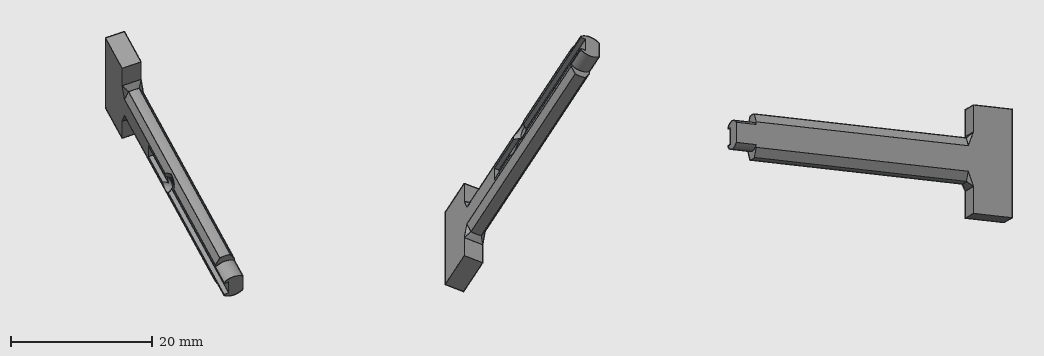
import cadquery as cq

length = 42.55
thickness = 2.95
head_height = 15.9
head_length = 6.0
half_thick = thickness / 2
front_y = -half_thick

shaft_start = 6.8
shaft_end = 39.5
shaft_radius = 3.3
flat_half_height = 1.87
crown_half_width = 0.8
crown_edge_z = (shaft_radius**2 - crown_half_width**2) ** 0.5

flare_half_height = 4.0

tip_radius = 2.1

groove_start = 15.45
groove_height = 2.43
groove_depth = 0.72

cone_x = 23.0
cone_z = 1.5
cone_mouth_radius = 1.58
cone_floor_radius = 0.95
cone_depth = 0.85

dimple_x = 21.5
dimple_z = -0.5
dimple_radius = 1.28
dimple_standoff = 0.2


def box_between(x_start, x_end, height):
    """Full-thickness block centred on the X axis."""
    block = cq.Workplane("XY").box(x_end - x_start, thickness, height)
    return block.translate(((x_start + x_end) / 2, 0, 0))


def make_shaft():
    return (
        cq.Workplane("YZ", origin=(shaft_start, 0, 0))
        .moveTo(front_y, -flat_half_height)
        .lineTo(front_y, flat_half_height)
        .lineTo(-crown_half_width, crown_edge_z)
        .threePointArc((0, shaft_radius), (crown_half_width, crown_edge_z))
        .lineTo(half_thick, flat_half_height)
        .lineTo(half_thick, -flat_half_height)
        .lineTo(crown_half_width, -crown_edge_z)
        .threePointArc((0, -shaft_radius), (-crown_half_width, -crown_edge_z))
        .close()
        .extrude(shaft_end - shaft_start)
    )


def polygon_face(*points):
    return cq.Face.makeFromWires(cq.Wire.makePolygon([cq.Vector(*p) for p in points], close=True))


def make_flare():
    """Blend from a rectangle at the head to the shaft section."""

    def head_corner(y_side, z_side):
        return (head_length, y_side * half_thick, z_side * flare_half_height)

    def flat_corner(y_side, z_side):
        return (shaft_start, y_side * half_thick, z_side * flat_half_height)

    def crown_corner(y_side, z_side):
        return (shaft_start, y_side * crown_half_width, z_side * crown_edge_z)

    faces = [
        polygon_face(head_corner(-1, -1), head_corner(-1, 1), head_corner(1, 1), head_corner(1, -1)),
        make_shaft().faces("<X").val(),
    ]
    for y_side in (-1, 1):
        faces.append(
            polygon_face(
                head_corner(y_side, -1),
                head_corner(y_side, 1),
                flat_corner(y_side, 1),
                flat_corner(y_side, -1),
            )
        )
        for z_side in (-1, 1):
            faces.append(
                polygon_face(
                    head_corner(y_side, z_side),
                    flat_corner(y_side, z_side),
                    crown_corner(y_side, z_side),
                )
            )
    for z_side in (-1, 1):
        head_edge = cq.Edge.makeLine(
            cq.Vector(*head_corner(-1, z_side)), cq.Vector(*head_corner(1, z_side))
        )
        crown_edge = cq.Edge.makeThreePointArc(
            cq.Vector(*crown_corner(-1, z_side)),
            cq.Vector(shaft_start, 0, z_side * shaft_radius),
            cq.Vector(*crown_corner(1, z_side)),
        )
        faces.append(cq.Face.makeRuledSurface(head_edge, crown_edge))
    return cq.Workplane(cq.Solid.makeSolid(cq.Shell.makeShell(faces)).fix())


def make_tip():
    rod = (
        cq.Workplane("YZ", origin=(shaft_end, 0, 0))
        .circle(tip_radius)
        .extrude(length - shaft_end)
    )
    return rod.intersect(box_between(shaft_end, length, 2 * tip_radius))


def make_groove():
    groove = box_between(groove_start, length, groove_height)
    return groove.translate((0, groove_depth - thickness, 0))


def make_cone_pocket():
    return cq.Workplane(
        cq.Solid.makeCone(
            cone_mouth_radius,
            cone_floor_radius,
            cone_depth,
            pnt=cq.Vector(cone_x, front_y, cone_z),
            dir=cq.Vector(0, 1, 0),
        )
    )


def make_dimple():
    ball = cq.Workplane("XY").sphere(dimple_radius)
    return ball.translate((dimple_x, front_y - dimple_standoff, dimple_z))


result = (
    box_between(0, head_length, head_height)
    .union(make_flare())
    .union(make_shaft())
    .union(make_tip())
    .cut(make_groove())
    .cut(make_cone_pocket())
    .cut(make_dimple())
)
result = result.translate((-length / 2, 0, 0))